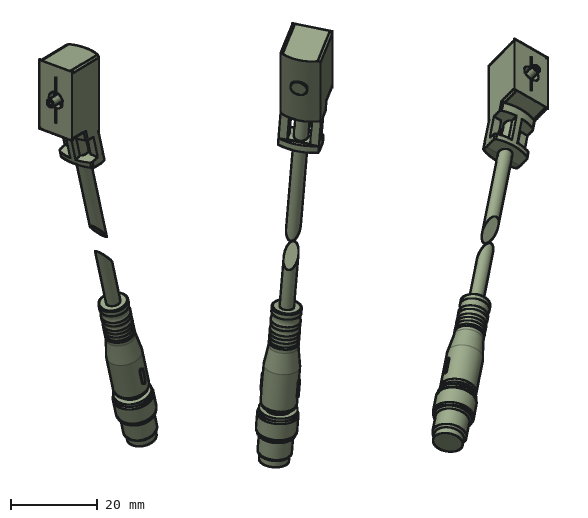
import cadquery as cq
import math


housing_width = 9.7
housing_height = 18.0
housing_side_depth = 10.0
crown_rise = 1.2
housing_tail = 1.7
housing_tail_front = 8.0
side_chamfer_width = 0.65
side_chamfer_height = 0.4
front_lip = 0.3
housing_top = housing_height / 2
housing_bottom = -housing_height / 2
half_width = housing_width / 2

screw_diameter = 2.0
screw_bore_diameter = 1.0
screw_bore_depth = 1.0
screw_projection = 2.0
screw_recess_diameter = 4.1
screw_recess_depth = 2.0
rear_disc_diameter = 4.0
rear_disc_projection = 0.3
mark_width = 0.3
mark_depth = 0.15
mark_end = 5.85

cable_tilt = 15.0
cable_start_y = 7.29
cable_diameter = 3.4
cable_cut_slope = 45.0
upper_cut = 32.96
lower_cut = 40.77

neck_half_depth = 2.0
neck_corner_width = 0.4
neck_corner_depth = 0.4
neck_top = -2.0
neck_end = 10.95
neck_bottom_z = -19.4
rear_flange_start = 9.2
pocket_top_z = -11.3
pocket_end = 8.5
rib_width = 1.56
window_width = 5.5

grip_radius = 7.0 / 2
grip_start = 54.4
grip_chamfer = 0.25
groove_spans = [(55.9, 57.95), (59.0, 60.4), (61.4, 62.4), (63.4, 64.0)]
groove_depth_ratio = 0.1
cone_start = 65.0
plug_body_radius = 8.5 / 2
plug_body_start = 70.25
plug_body_end = 80.8
plug_body_chamfer_width = 0.3
plug_body_chamfer_length = 0.6
plug_neck_radius = 5.8 / 2
nut_radius = 9.6 / 2
nut_start = 81.9
nut_end = 88.8
nut_rim_radius = 9.0 / 2
nut_top_rim_end = 82.7
nut_bottom_rim_start = 88.0
nut_bottom_rim_end = 88.3
nut_chamfer_length = 0.5
sleeve_radius = 8.0 / 2
sleeve_end = 93.3
tip_radius = 7.0 / 2
tip_step_end = 93.9
tip_end = 95.6
pad_centre = 75.5
pad_length = 4.4
pad_width = 1.1
pad_diameter = 9.0

tilt = math.radians(cable_tilt)
window_bottom_z = housing_bottom - pocket_end * math.cos(tilt)
cable_frame = cq.Location(
    cq.Plane(
        origin=(0, cable_start_y, housing_bottom),
        xDir=(1, 0, 0),
        normal=(0, math.sin(tilt), -math.cos(tilt)),
    )
)


def along_cable(shape):
    """Moves a shape from the cable frame to its place on the part."""
    return cq.Workplane(obj=shape.val().moved(cable_frame))


def box(x_range, y_range, z_range):
    """Box between the given limits."""
    corners = list(zip(x_range, y_range, z_range))
    size = [high - low for low, high in zip(*corners)]
    return cq.Workplane().box(*size, centered=False).translate(corners[0])


def straight_cable(start, end):
    """Square-ended length of cable along local Z."""
    return cq.Workplane().circle(cable_diameter / 2).extrude(end - start).translate((0, 0, start))


def beyond_cut(centre, direction):
    """Block filling the space past an oblique cable cut, upwards (-1) or downwards (+1)."""
    size = 4 * cable_diameter
    slope = 90 - cable_cut_slope + cable_tilt
    block = cq.Workplane().box(size, 2 * size, size).translate((0, 0, direction * size / 2))
    return block.rotate((0, 0, 0), (1, 0, 0), -slope).translate((0, 0, centre))


def crowned_block(y_low, y_high, z_low, z_high, crown_low, crown_high):
    """Full-width block whose -Y and +Y faces bulge outwards by crown_low and crown_high."""
    outline = cq.Workplane().workplane(offset=z_low).moveTo(-half_width, y_low)
    outline = outline.lineTo(-half_width, y_high)
    if crown_high:
        outline = outline.threePointArc((0, y_high + crown_high), (half_width, y_high))
    else:
        outline = outline.lineTo(half_width, y_high)
    outline = outline.lineTo(half_width, y_low)
    if crown_low:
        outline = outline.threePointArc((0, y_low - crown_low), (-half_width, y_low))
    return outline.close().extrude(z_high - z_low)


def side_chamfer(side, end, rear):
    """Wedge to remove from the top (end = 1) or bottom (end = -1) edge of one side, up to y = rear."""
    edge_z = end * housing_height / 2
    return (
        cq.Workplane("XZ", origin=(0, front_lip, 0))
        .moveTo(side * half_width, edge_z)
        .lineTo(side * (half_width - side_chamfer_width), edge_z)
        .lineTo(side * half_width, edge_z - end * side_chamfer_height)
        .close()
        .extrude(front_lip - rear)
    )


def make_housing():
    """Housing with its crowned rear, rear tail and chamfered side edges."""
    main = crowned_block(0, housing_side_depth, housing_bottom, housing_top, 0, crown_rise)
    tail_bottom = housing_bottom - housing_tail
    tail = crowned_block(
        housing_tail_front, housing_side_depth, tail_bottom, housing_bottom, 0, crown_rise
    )
    housing = main.union(tail)
    for side in (-1, 1):
        top_edge = side_chamfer(side, 1, housing_side_depth + crown_rise)
        bottom_edge = side_chamfer(side, -1, housing_tail_front)
        housing = housing.cut(top_edge).cut(bottom_edge)
    return housing


def add_screw(housing):
    """Recessed adjusting screw on the sensing face, with the marks above and below it."""
    recess = cq.Workplane("XZ").circle(screw_recess_diameter / 2).extrude(-screw_recess_depth)
    marks = box((-mark_width / 2, mark_width / 2), (0, mark_depth), (-mark_end, mark_end))
    screw = (
        cq.Workplane("XZ", origin=(0, screw_recess_depth, 0))
        .circle(screw_diameter / 2)
        .extrude(screw_recess_depth + screw_projection)
        .faces("<Y")
        .workplane()
        .hole(screw_bore_diameter, screw_bore_depth)
    )
    return housing.cut(marks).cut(recess).union(screw)


def add_rear_disc(housing):
    """Low round disc standing out of the crowned rear face."""
    tip = housing_side_depth + crown_rise + rear_disc_projection
    disc = cq.Workplane("XZ", origin=(0, tip, 0)).circle(rear_disc_diameter / 2)
    return housing.union(disc.extrude(tip - housing_side_depth))


def make_neck():
    """Cable outlet: flat back plate, crowned front, open side pockets, centre rib and end flange."""
    crown_half_width = half_width - neck_corner_width
    crown_edge = neck_half_depth + neck_corner_depth
    neck = (
        cq.Workplane()
        .workplane(offset=neck_top)
        .moveTo(-half_width, -neck_half_depth)
        .lineTo(-half_width, neck_half_depth)
        .lineTo(-crown_half_width, crown_edge)
        .threePointArc((0, neck_half_depth + crown_rise), (crown_half_width, crown_edge))
        .lineTo(half_width, neck_half_depth)
        .lineTo(half_width, -neck_half_depth)
        .close()
        .extrude(neck_end - neck_top)
    )
    flange = crowned_block(-neck_half_depth, 0, rear_flange_start, neck_end, crown_rise, 0)
    neck = along_cable(neck.union(flange))

    reach = 2 * housing_width
    pocket_front = neck_half_depth + crown_rise
    pockets = box((-half_width, half_width), (0, pocket_front), (neck_top, pocket_end))
    window = box((-window_width / 2, window_width / 2), (-neck_half_depth, 0), (neck_top, neck_end))
    rib = box((-rib_width / 2, rib_width / 2), (0, pocket_front), (neck_top, pocket_end))
    below_pocket_top = box((-reach, reach), (-reach, reach), (pocket_top_z - reach, pocket_top_z))
    window_height = box((-reach, reach), (-reach, reach), (window_bottom_z, pocket_top_z))
    below_neck = box((-reach, reach), (-reach, reach), (neck_bottom_z - reach, neck_bottom_z))
    neck = neck.cut(along_cable(pockets.cut(rib)).intersect(below_pocket_top))
    return neck.cut(along_cable(window).intersect(window_height)).cut(below_neck)


def make_upper_cable():
    """Cable stub from inside the neck to its oblique cut end."""
    cable = straight_cable(0, upper_cut + 2 * cable_diameter)
    return along_cable(cable.cut(beyond_cut(upper_cut, 1)))


def make_sensor():
    """Sensor body: housing, screw, neck and upper cable stub in one solid."""
    housing = add_rear_disc(add_screw(make_housing()))
    return housing.union(make_neck()).union(make_upper_cable())


def make_plug():
    """Turned plug on the lower cable stub, with two grip pads on its sides."""
    profile = cq.Workplane("XZ").moveTo(0, grip_start)
    profile = profile.lineTo(grip_radius - grip_chamfer, grip_start)
    profile = profile.lineTo(grip_radius, grip_start + grip_chamfer)
    for start, end in groove_spans:
        depth = groove_depth_ratio * (end - start)
        profile = profile.lineTo(grip_radius, start)
        profile = profile.threePointArc((grip_radius - depth, (start + end) / 2), (grip_radius, end))
    turned = (
        profile.lineTo(grip_radius, cone_start)
        .lineTo(plug_body_radius, plug_body_start)
        .lineTo(plug_body_radius, plug_body_end - plug_body_chamfer_length)
        .lineTo(plug_body_radius - plug_body_chamfer_width, plug_body_end)
        .lineTo(plug_neck_radius, plug_body_end)
        .lineTo(plug_neck_radius, nut_start)
        .lineTo(nut_rim_radius, nut_start)
        .lineTo(nut_rim_radius, nut_top_rim_end)
        .lineTo(nut_radius, nut_top_rim_end + nut_chamfer_length)
        .lineTo(nut_radius, nut_bottom_rim_start - nut_chamfer_length)
        .lineTo(nut_rim_radius, nut_bottom_rim_start)
        .lineTo(nut_rim_radius, nut_bottom_rim_end)
        .lineTo(sleeve_radius, nut_end)
        .lineTo(sleeve_radius, sleeve_end)
        .lineTo(tip_radius, tip_step_end)
        .lineTo(tip_radius, tip_end)
        .lineTo(0, tip_end)
        .close()
        .revolve(360, (0, 0, 0), (0, 1, 0))
    )
    pads = (
        cq.Workplane("YZ", origin=(0, 0, pad_centre))
        .slot2D(pad_length, pad_width, 90)
        .extrude(pad_diameter, both=True)
    )
    pad_limit = cq.Workplane(origin=(0, 0, plug_body_start)).circle(pad_diameter / 2)
    pads = pads.intersect(pad_limit.extrude(plug_body_end - plug_body_start))
    cable_start = lower_cut - 2 * cable_diameter
    cable = straight_cable(cable_start, grip_start).cut(beyond_cut(lower_cut, -1))
    return along_cable(turned.union(pads).union(cable))


sensor = make_sensor()
plug = make_plug()

result = cq.Compound.makeCompound([sensor.val(), plug.val()])